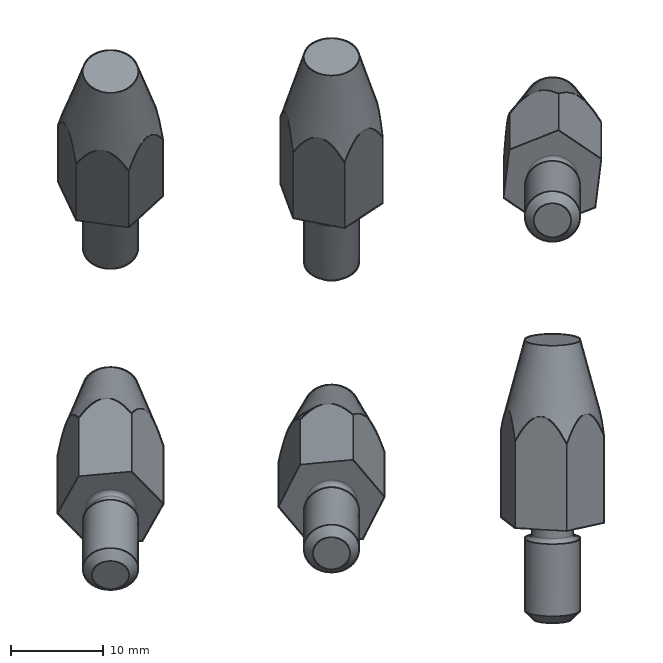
import cadquery as cq
import math

total_height = 31.0
hex_across_flats = 10.0
stud_length = 11.0
stud_radius = 3.0

tip_radius = 3.0
taper_half_angle = 15.0

undercut_radius = 2.25
undercut_width = 2.0
undercut_fillet = 0.5

stud_chamfer = 1.0

hex_across_corners = hex_across_flats / math.cos(math.radians(30))


def tapered_hex_body():
    """Hexagonal prism, corners along Y, trimmed to a cone at the top."""
    body_height = total_height - stud_length
    prism = (
        cq.Workplane("XY", origin=(0, 0, stud_length))
        .polygon(6, hex_across_corners)
        .extrude(body_height)
        .rotate((0, 0, 0), (0, 0, 1), 30)
    )
    cone_base_radius = tip_radius + body_height * math.tan(math.radians(taper_half_angle))
    cone = (
        cq.Workplane("XZ")
        .moveTo(0, stud_length)
        .lineTo(cone_base_radius, stud_length)
        .lineTo(tip_radius, total_height)
        .lineTo(0, total_height)
        .close()
        .revolve(360, (0, 0, 0), (0, 1, 0))
    )
    return prism.intersect(cone)


def undercut_stud():
    """Round stud with a chamfered end and a filleted undercut below the body."""
    undercut_bottom = stud_length - undercut_width
    fillet_edge_radius = undercut_radius + undercut_fillet
    arc_offset = undercut_fillet * math.sqrt(0.5)
    arc_middle_radius = fillet_edge_radius - arc_offset
    lower_center = undercut_bottom + undercut_fillet
    upper_center = stud_length - undercut_fillet
    return (
        cq.Workplane("XZ")
        .lineTo(stud_radius - stud_chamfer, 0)
        .lineTo(stud_radius, stud_chamfer)
        .lineTo(stud_radius, undercut_bottom)
        .lineTo(fillet_edge_radius, undercut_bottom)
        .threePointArc((arc_middle_radius, lower_center - arc_offset), (undercut_radius, lower_center))
        .lineTo(undercut_radius, upper_center)
        .threePointArc((arc_middle_radius, upper_center + arc_offset), (fillet_edge_radius, stud_length))
        .lineTo(0, stud_length)
        .close()
        .revolve(360, (0, 0, 0), (0, 1, 0))
    )


result = tapered_hex_body().union(undercut_stud())